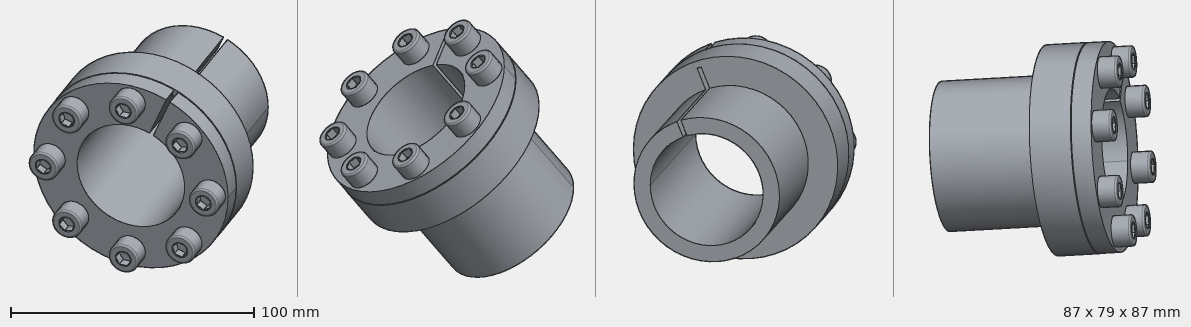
import cadquery as cq
import math

ring_diameter = 87.0
flange_diameter = 86.8
sleeve_diameter = 61.95
bore_diameter = 48.0
flange_thickness = 8.35
groove_width = 0.35
flange_and_ring_length = 26.0
sleeve_length = 45.0
groove_diameter = 80.9

slit_width = 1.8
slit_angle = 67.5
ring_slit_diameter = groove_diameter

screw_count = 8
screw_circle_diameter = 71.5
head_diameter = 13.0
head_height = 8.0
head_edge_radius = 0.8
socket_mouth_diameter = 7.0
socket_sides = 6
socket_width = 6.0
socket_depth = 4.0
socket_mouth_slope = 30

hub_length = flange_and_ring_length + sleeve_length


def cylinder_along_y(diameter, y_start, length):
    """Solid cylinder on the Y axis from y_start toward +Y."""
    plane = cq.Plane(origin=(0, y_start, 0), xDir=(1, 0, 0), normal=(0, 1, 0))
    return cq.Workplane(plane).circle(diameter / 2).extrude(length)


def slit_cutter(outer_diameter, y_start, length):
    """Radial slab from the axis out to outer_diameter, at the slit angle."""
    slab = (
        cq.Workplane("XY")
        .box(outer_diameter, length, slit_width, centered=(False, False, True))
        .translate((0, y_start, 0))
        .rotate((0, 0, 0), (0, 1, 0), -slit_angle)
    )
    return slab.intersect(cylinder_along_y(outer_diameter, y_start, length))


def make_hub():
    """Turned body of flange, groove, ring and sleeve, bored through and slit."""
    ring_start = flange_thickness + groove_width
    ring_length = flange_and_ring_length - ring_start
    hub = cylinder_along_y(flange_diameter, 0, flange_thickness)
    hub = hub.union(cylinder_along_y(groove_diameter, 0, flange_and_ring_length))
    hub = hub.union(cylinder_along_y(ring_diameter, ring_start, ring_length))
    hub = hub.union(cylinder_along_y(sleeve_diameter, 0, hub_length))
    hub = hub.cut(cylinder_along_y(bore_diameter, 0, hub_length))
    hub = hub.cut(slit_cutter(ring_diameter, 0, ring_start))
    return hub.cut(slit_cutter(ring_slit_diameter, 0, hub_length))


def make_socket():
    """Hexagon socket going in from Y = 0, with a conical lead-in at its mouth."""
    into_head = cq.Plane(origin=(0, 0, 0), xDir=(0, 0, 1), normal=(0, 1, 0))
    hexagon_diameter = socket_width / math.cos(math.radians(180 / socket_sides))
    hexagon = cq.Workplane(into_head).polygon(socket_sides, hexagon_diameter).extrude(socket_depth)
    mouth_radius = socket_mouth_diameter / 2
    mouth_depth = mouth_radius * math.tan(math.radians(socket_mouth_slope))
    mouth = cq.Solid.makeCone(mouth_radius, 0, mouth_depth, dir=cq.Vector(0, 1, 0))
    return hexagon.union(cq.Workplane(mouth))


def make_screw(angle):
    """Screw head standing on the flange face, with a hexagon socket in its front."""
    head = cylinder_along_y(head_diameter, -head_height, head_height)
    head = head.faces("<Y").edges().fillet(head_edge_radius)
    head = head.cut(make_socket().translate((0, -head_height, 0)))
    head = head.translate((screw_circle_diameter / 2, 0, 0))
    return head.rotate((0, 0, 0), (0, 1, 0), -angle)


hub = make_hub()
screws = [make_screw(index * 360 / screw_count) for index in range(screw_count)]

result = cq.Compound.makeCompound([hub.val(), *[screw.val() for screw in screws]])